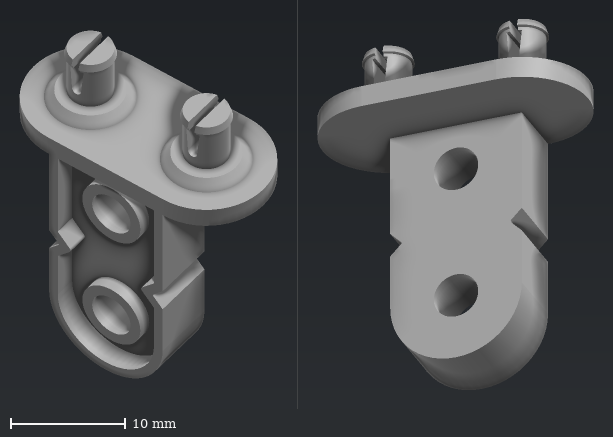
import cadquery as cq
import math

PITCH = 12.7
WIDTH = 12.43
END_RADIUS = WIDTH / 2

PLATE_LENGTH = 25.1
PLATE_THICKNESS = 2.0

FRONT_Y = -WIDTH / 2
ARM_DEPTH = 6.1
WALL = 0.95
POCKET_DEPTH = 2.1
BOSS_RECESS = 0.8
BOSS_DIAMETER = 6.35
HOLE_DIAMETER = 4.2
UPPER_HOLE_Z = -PITCH / 2
LOWER_HOLE_Z = UPPER_HOLE_Z - PITCH

NOTCH_Z = (UPPER_HOLE_Z + LOWER_HOLE_Z) / 2
NOTCH_DEPTH = 1.13
NOTCH_TIP_RADIUS = 0.15
INNER_NOTCH_DEPTH = NOTCH_DEPTH + WALL * math.tan(math.pi / 8)
INNER_TIP_RADIUS = 0.3

PIN_HEIGHT = 6.125
PIN_DIAMETER = 4.2
COLLAR_HEIGHT = 0.9
COLLAR_TOP_DIAMETER = 6.35
COLLAR_BASE_DIAMETER = COLLAR_TOP_DIAMETER + 2 * COLLAR_HEIGHT
HEAD_DIAMETER = 4.65
HEAD_TAPER_HEIGHT = 0.7
HEAD_UNDERCUT_HEIGHT = 0.1

MOUTH_WIDTH = 0.77
MOUTH_DEPTH = 1.1
SLOT_DEPTH = 4.05
SLOT_TOP_WIDTH = 1.45
SLOT_BOTTOM_RADIUS = 0.5


def make_plate():
    return (
        cq.Workplane("XY")
        .slot2D(PLATE_LENGTH, WIDTH)
        .extrude(-PLATE_THICKNESS)
    )


def arm_profile(half_width, top_z, notch_depth, tip_radius, depth):
    """Round-ended arm outline with a V notch on each side, extruded back from the front face."""
    body = (
        cq.Workplane("XZ", origin=(0, FRONT_Y, 0))
        .moveTo(-half_width, top_z)
        .lineTo(-half_width, LOWER_HOLE_Z)
        .threePointArc((0, LOWER_HOLE_Z - half_width), (half_width, LOWER_HOLE_Z))
        .lineTo(half_width, top_z)
        .close()
        .extrude(-depth)
    )
    for side in (-1, 1):
        body = body.cut(notch_wedge(side, half_width, notch_depth, tip_radius, depth))
    return body


def notch_wedge(side, half_width, notch_depth, tip_radius, depth):
    """Wedge with 45 degree flanks and a rounded tip pointing at the arm's centre line."""
    tangent_offset = tip_radius / math.sqrt(2)
    tangent_x = side * (half_width - notch_depth + tangent_offset)
    apex_x = side * (half_width - notch_depth + tip_radius * (math.sqrt(2) - 1))
    return (
        cq.Workplane("XZ", origin=(0, FRONT_Y, NOTCH_Z))
        .moveTo(side * half_width, notch_depth)
        .lineTo(tangent_x, tangent_offset)
        .threePointArc((apex_x, 0), (tangent_x, -tangent_offset))
        .lineTo(side * half_width, -notch_depth)
        .close()
        .extrude(-depth)
    )


def make_arm():
    return arm_profile(END_RADIUS, 0, NOTCH_DEPTH, NOTCH_TIP_RADIUS, ARM_DEPTH)


def make_arm_pocket():
    return arm_profile(
        END_RADIUS - WALL, -PLATE_THICKNESS, INNER_NOTCH_DEPTH, INNER_TIP_RADIUS, POCKET_DEPTH
    )


def hole_cylinders(diameter, start_depth, end_depth):
    """Cylinders on both hole axes, between two depths behind the front face."""
    return (
        cq.Workplane("XZ", origin=(0, FRONT_Y + start_depth, 0))
        .pushPoints([(0, UPPER_HOLE_Z), (0, LOWER_HOLE_Z)])
        .circle(diameter / 2)
        .extrude(start_depth - end_depth)
    )


def make_pin():
    """Slotted snap pin on a conical collar, standing on the origin."""
    head_wide_z = PIN_HEIGHT - HEAD_TAPER_HEIGHT
    pin = (
        cq.Workplane("XZ")
        .moveTo(0, 0)
        .lineTo(COLLAR_BASE_DIAMETER / 2, 0)
        .lineTo(COLLAR_TOP_DIAMETER / 2, COLLAR_HEIGHT)
        .lineTo(PIN_DIAMETER / 2, COLLAR_HEIGHT)
        .lineTo(PIN_DIAMETER / 2, head_wide_z - HEAD_UNDERCUT_HEIGHT)
        .lineTo(HEAD_DIAMETER / 2, head_wide_z)
        .lineTo(PIN_DIAMETER / 2, PIN_HEIGHT)
        .lineTo(0, PIN_HEIGHT)
        .close()
        .revolve(360, (0, 0, 0), (0, 1, 0))
    )
    return pin.cut(make_pin_slot())


def make_pin_slot():
    mouth_z = PIN_HEIGHT - MOUTH_DEPTH
    bottom_z = PIN_HEIGHT - SLOT_DEPTH
    arc_z = bottom_z + SLOT_BOTTOM_RADIUS
    return (
        cq.Workplane("XZ")
        .moveTo(-MOUTH_WIDTH / 2, PIN_HEIGHT)
        .lineTo(-MOUTH_WIDTH / 2, mouth_z)
        .lineTo(-SLOT_TOP_WIDTH / 2, mouth_z)
        .lineTo(-SLOT_BOTTOM_RADIUS, arc_z)
        .threePointArc((0, bottom_z), (SLOT_BOTTOM_RADIUS, arc_z))
        .lineTo(SLOT_TOP_WIDTH / 2, mouth_z)
        .lineTo(MOUTH_WIDTH / 2, mouth_z)
        .lineTo(MOUTH_WIDTH / 2, PIN_HEIGHT)
        .close()
        .extrude(HEAD_DIAMETER, both=True)
    )


bosses = hole_cylinders(BOSS_DIAMETER, BOSS_RECESS, POCKET_DEPTH)
holes = hole_cylinders(HOLE_DIAMETER, 0, ARM_DEPTH)

result = make_plate().union(make_arm()).cut(make_arm_pocket()).union(bosses).cut(holes)
for pin_x in (-PITCH / 2, PITCH / 2):
    result = result.union(make_pin().translate((pin_x, 0, 0)))